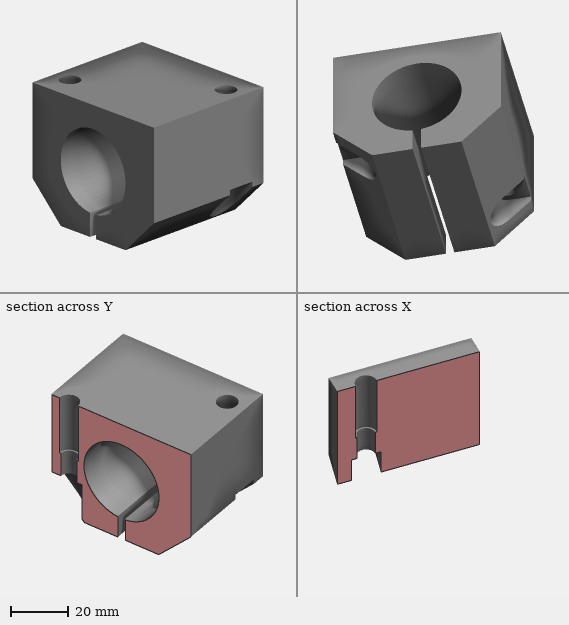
import cadquery as cq

width = 60.0
length = 54.0
height = 50.0
corner_cut = 14.05

bore_diameter = 32.0
bore_height = height / 2
slit_width = 3.0

hole_edge_x = 7.5
hole_edge_y = 11.0
hole_x = width / 2 - hole_edge_x
hole_y = length / 2 - hole_edge_y
hole_diameter = 6.8
upper_hole_diameter = 8.0
upper_hole_depth = 24.0

seat_width = 11.1
seat_height = 16.0


def make_body():
    """Block with both lower long edges cut at 45 degrees."""
    block = cq.Workplane("XY").box(width, length, height, centered=(True, True, False))
    return block.faces("<Z").edges("|Y").chamfer(corner_cut)


def make_clamp_opening():
    """Round bore along Y joined to the slit below it."""
    bore = (
        cq.Workplane("XZ")
        .center(0, bore_height)
        .circle(bore_diameter / 2)
        .extrude(length / 2, both=True)
    )
    slit = cq.Workplane("XY").box(slit_width, length, bore_height, centered=(True, True, False))
    return bore.union(slit)


def make_screw_cut(side):
    """Stepped hole and round-ended seat; side is -1 for the -X, -Y corner, +1 for the other."""
    center = (side * hole_x, side * hole_y)
    through_hole = cq.Workplane("XY").center(*center).circle(hole_diameter / 2).extrude(height)
    upper_hole = (
        cq.Workplane("XY", origin=(0, 0, height))
        .center(*center)
        .circle(upper_hole_diameter / 2)
        .extrude(-upper_hole_depth)
    )
    seat_round = cq.Workplane("XY").center(*center).circle(seat_width / 2).extrude(seat_height)
    seat_mouth = (
        cq.Workplane("XY")
        .center(side * (hole_x + hole_edge_x / 2), side * hole_y)
        .rect(hole_edge_x, seat_width)
        .extrude(seat_height)
    )
    return through_hole.union(upper_hole).union(seat_round).union(seat_mouth)


result = make_body().cut(make_clamp_opening())
for side in (-1, 1):
    result = result.cut(make_screw_cut(side))